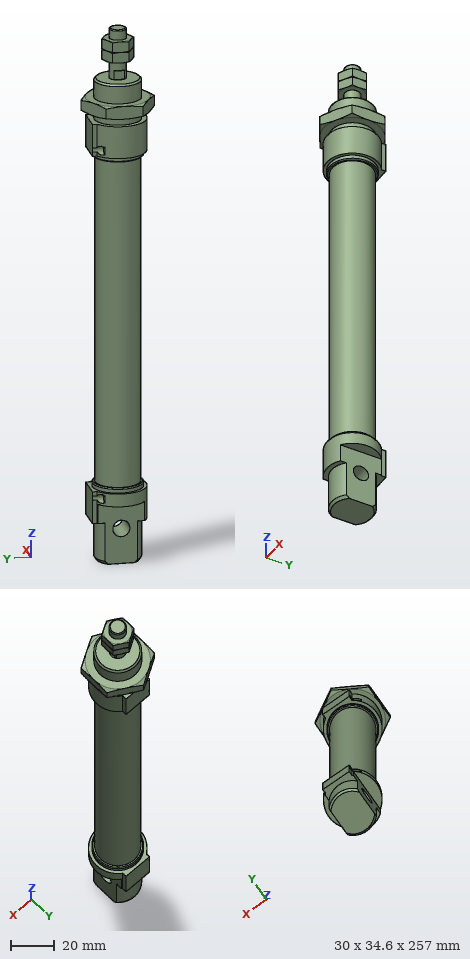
import cadquery as cq
import math

OVERALL_LENGTH = 257.0
TAIL_END_Z = -OVERALL_LENGTH / 2
ROD_END_Z = OVERALL_LENGTH / 2

CAP_DIAMETER = 27.0
CAP_HEIGHT = 15.5

TAIL_DIAMETER = 22.0
TAIL_LENGTH = 20.0
TAIL_CHAMFER_WIDTH = 1.0
TAIL_CHAMFER_HEIGHT = 1.5
TAIL_THICKNESS = 16.0
TAIL_FLAT_LENGTH = 29.3
HINGE_HOLE_DIAMETER = 8.0
HINGE_HOLE_HEIGHT = 17.0

BARREL_DIAMETER = 21.3
BARREL_LENGTH = 162.5
COLLAR_DIAMETER = 24.0
COLLAR_LENGTH = 2.3
COLLAR_CHAMFER = 0.5

BOSS_WIDTH = 15.0
RECESS_DIAMETER = 4.0
RECESS_FLOOR_Y = 8.2
RECESS_OFFSET = 9.3
RECESS_INSET = 3.0

NECK_DIAMETER = TAIL_DIAMETER
NECK_LENGTH = 19.5
NECK_CHAMFER = 0.9

ROD_DIAMETER = 8.0
ROD_CHAMFER = 0.5
ROD_FLAT_THICKNESS = 6.2
ROD_FLAT_LENGTH = 4.4

MOUNTING_NUT_WIDTH = 30.0
MOUNTING_NUT_HEIGHT = 6.2
MOUNTING_NUT_GAP = 4.0
ROD_NUT_WIDTH = 13.0
ROD_NUT_HEIGHT = 5.1
ROD_NUT_COUNT = 2
ROD_NUT_END_GAP = 5.0
NUT_CHAMFER_ANGLE = 18
HEXAGON_SIDES = 6
HEXAGON_TURN = 30

REAR_CAP_Z = TAIL_END_Z + TAIL_LENGTH
BARREL_Z = REAR_CAP_Z + CAP_HEIGHT
FRONT_CAP_Z = BARREL_Z + BARREL_LENGTH
NECK_Z = FRONT_CAP_Z + CAP_HEIGHT
NECK_END_Z = NECK_Z + NECK_LENGTH
MOUNTING_NUT_Z = NECK_Z + MOUNTING_NUT_GAP
ROD_NUTS_Z = ROD_END_Z - ROD_NUT_END_GAP - ROD_NUT_COUNT * ROD_NUT_HEIGHT


def cylinder(diameter, length, bottom_z):
    """Upright round bar on the cylinder axis."""
    return cq.Workplane("XY").workplane(offset=bottom_z).circle(diameter / 2).extrude(length)


def flats_cutter(thickness, height, bottom_z):
    """Everything outside a slab of the given thickness in X, over the given height."""
    reach = 2 * CAP_DIAMETER
    outside = cq.Workplane("XY").workplane(offset=bottom_z).rect(reach, reach).extrude(height)
    slab = cq.Workplane("XY").workplane(offset=bottom_z).rect(thickness, reach).extrude(height)
    return outside.cut(slab)


def cap(bottom_z, recess_z):
    """Round cap with a square-cornered port boss and a recess at the boss's -X side."""
    boss = (
        cq.Workplane("XY")
        .workplane(offset=bottom_z)
        .center(0, CAP_DIAMETER / 4)
        .rect(BOSS_WIDTH, CAP_DIAMETER / 2)
        .extrude(CAP_HEIGHT)
    )
    recess = (
        cq.Workplane("XZ", origin=(-RECESS_OFFSET, CAP_DIAMETER / 2, recess_z))
        .circle(RECESS_DIAMETER / 2)
        .extrude(CAP_DIAMETER / 2 - RECESS_FLOOR_Y)
    )
    return cylinder(CAP_DIAMETER, CAP_HEIGHT, bottom_z).union(boss).cut(recess)


def make_barrel():
    """Barrel with a chamfered collar against each cap."""
    rear_collar = cylinder(COLLAR_DIAMETER, COLLAR_LENGTH, BARREL_Z).faces(">Z").chamfer(COLLAR_CHAMFER)
    front_collar = (
        cylinder(COLLAR_DIAMETER, COLLAR_LENGTH, FRONT_CAP_Z - COLLAR_LENGTH)
        .faces("<Z")
        .chamfer(COLLAR_CHAMFER)
    )
    return cylinder(BARREL_DIAMETER, BARREL_LENGTH, BARREL_Z).union(rear_collar).union(front_collar)


def make_tail():
    """Round hinge tail, chamfered at its free end."""
    tail = cylinder(TAIL_DIAMETER, TAIL_LENGTH, TAIL_END_Z)
    return tail.faces("<Z").chamfer(TAIL_CHAMFER_HEIGHT, TAIL_CHAMFER_WIDTH)


def make_housing():
    """Rear cap with hinge tail, barrel, and front cap with mounting neck, bored for the rod."""
    hinge_hole = (
        cq.Workplane("YZ", origin=(0, 0, TAIL_END_Z + HINGE_HOLE_HEIGHT))
        .circle(HINGE_HOLE_DIAMETER / 2)
        .extrude(CAP_DIAMETER / 2, both=True)
    )
    rear_cap = cap(REAR_CAP_Z, BARREL_Z - RECESS_INSET)
    rear = (
        rear_cap.union(make_tail())
        .cut(flats_cutter(TAIL_THICKNESS, TAIL_FLAT_LENGTH, TAIL_END_Z))
        .cut(hinge_hole)
    )
    neck = cylinder(NECK_DIAMETER, NECK_LENGTH, NECK_Z).faces(">Z").chamfer(NECK_CHAMFER)
    front = cap(FRONT_CAP_Z, FRONT_CAP_Z + RECESS_INSET).union(neck)
    rod_bore = cylinder(ROD_DIAMETER, NECK_END_Z - FRONT_CAP_Z, FRONT_CAP_Z)
    return rear.union(make_barrel()).union(front).cut(rod_bore)


def make_rod():
    """Round rod seated in the front cap, with a pair of spanner flats above the neck."""
    rod = cylinder(ROD_DIAMETER, ROD_END_Z - FRONT_CAP_Z, FRONT_CAP_Z).faces(">Z").chamfer(ROD_CHAMFER)
    return rod.cut(flats_cutter(ROD_FLAT_THICKNESS, ROD_FLAT_LENGTH, NECK_END_Z))


def hex_nut(width, height, bore, bottom_z):
    """Hexagon nut with flats facing +X and -X and conical corner chamfers at both ends."""
    corner_radius = width / math.sqrt(3)
    drop = (corner_radius - width / 2) * math.tan(math.radians(NUT_CHAMFER_ANGLE))
    top_z = bottom_z + height
    chamfer_cone = (
        cq.Workplane("XZ")
        .moveTo(0, bottom_z)
        .lineTo(width / 2, bottom_z)
        .lineTo(corner_radius, bottom_z + drop)
        .lineTo(corner_radius, top_z - drop)
        .lineTo(width / 2, top_z)
        .lineTo(0, top_z)
        .close()
        .revolve(360, (0, 0, 0), (0, 1, 0))
    )
    prism = (
        cq.Workplane("XY")
        .workplane(offset=bottom_z)
        .transformed(rotate=(0, 0, HEXAGON_TURN))
        .polygon(HEXAGON_SIDES, 2 * corner_radius)
        .extrude(height)
    )
    return prism.intersect(chamfer_cone).cut(cylinder(bore, height, bottom_z))


housing = make_housing()
rod = make_rod()
mounting_nut = hex_nut(MOUNTING_NUT_WIDTH, MOUNTING_NUT_HEIGHT, NECK_DIAMETER, MOUNTING_NUT_Z)
rod_nuts = [
    hex_nut(ROD_NUT_WIDTH, ROD_NUT_HEIGHT, ROD_DIAMETER, ROD_NUTS_Z + i * ROD_NUT_HEIGHT)
    for i in range(ROD_NUT_COUNT)
]

result = cq.Compound.makeCompound(
    [housing.val(), rod.val(), mounting_nut.val(), *[nut.val() for nut in rod_nuts]]
)